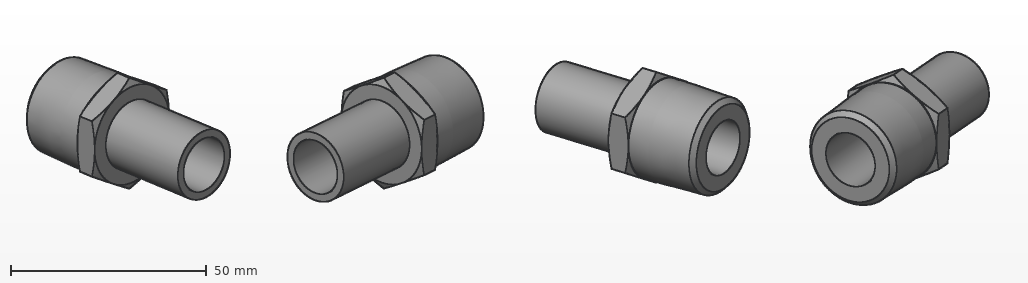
import cadquery as cq
import math

length = 52.3
lead_chamfer_end = 1.35
taper_end = 13.8
hex_start = 20.1
hex_end = 26.35

end_face_radius = 11.6
taper_start_radius = 13.0
collar_radius = 13.35
tube_radius = 9.45
bore_radius = 7.4

across_flats = 27.0
flat_radius = across_flats / 2
corner_radius = flat_radius / math.cos(math.radians(30))
hex_chamfer_length = 1.0


def revolve_profile(points):
    """Revolve a closed (x, radius) outline about the X axis."""
    return cq.Workplane("XY").polyline(points).close().revolve(360, (0, 0, 0), (1, 0, 0))


def make_turned_body():
    """Tapered thread blank, cylindrical collar and plain tube."""
    return revolve_profile([
        (0, 0),
        (0, end_face_radius),
        (lead_chamfer_end, taper_start_radius),
        (taper_end, collar_radius),
        (hex_start, collar_radius),
        (hex_start, tube_radius),
        (length, tube_radius),
        (length, 0),
    ])


def make_hexagon():
    """Hexagonal flange whose corners are chamfered conically on both faces."""
    prism = (
        cq.Workplane("YZ", origin=(hex_start, 0, 0))
        .polygon(6, 2 * corner_radius)
        .extrude(hex_end - hex_start)
        .rotate((0, 0, 0), (1, 0, 0), 90)
    )
    chamfer_envelope = revolve_profile([
        (hex_start, 0),
        (hex_start, flat_radius),
        (hex_start + hex_chamfer_length, corner_radius),
        (hex_end - hex_chamfer_length, corner_radius),
        (hex_end, flat_radius),
        (hex_end, 0),
    ])
    return prism.intersect(chamfer_envelope)


bore = cq.Workplane("YZ").circle(bore_radius).extrude(length)

result = make_turned_body().union(make_hexagon()).cut(bore)